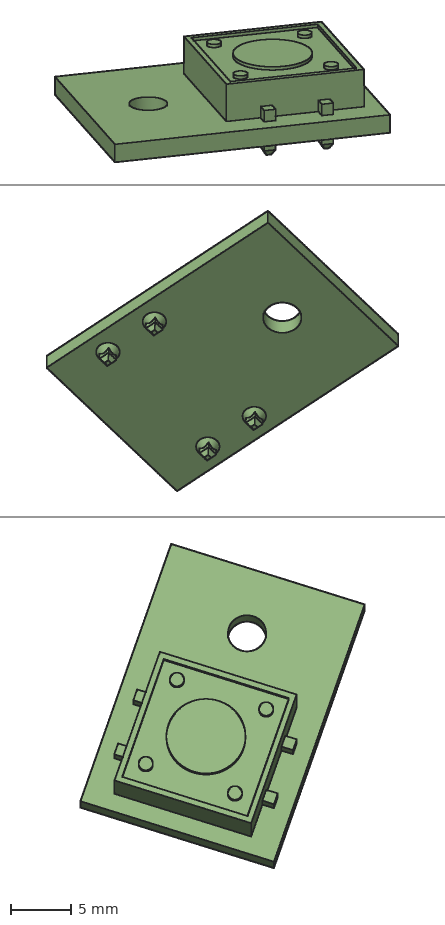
import cadquery as cq
import math

board_width = 17.0
board_length = 24.0
board_thickness = 1.6
mount_hole_diameter = 3.2
mount_hole_y = -6.48

housing_side = 12.0
housing_height = 3.3
housing_y = 4.5
housing_wall = 0.5
recess_side = housing_side - 2 * housing_wall
recess_depth = 0.3
recess_floor_z = housing_height - recess_depth

button_diameter = 6.6
button_y = 4.37
button_height = recess_depth
peg_diameter = 1.2
peg_height = recess_depth
peg_count = 4
peg_circle_radius = 5.57
first_peg_angle = 44.1

lead_side = 1.0
lead_pitch = 5.05
lead_x = (housing_side + lead_side) / 2
lead_projection = 1.5
lead_tip_height = 0.5
lead_tip_side = 0.4

solder_height = 0.6
solder_base_diameter = 1.97


def make_board():
    board = cq.Workplane("XY").box(
        board_width, board_length, board_thickness, centered=(True, True, False)
    )
    hole = (
        cq.Workplane("XY").center(0, mount_hole_y)
        .circle(mount_hole_diameter / 2).extrude(board_thickness)
    )
    return board.cut(hole).translate((0, 0, -board_thickness))


def make_housing():
    block = (
        cq.Workplane("XY").center(0, housing_y)
        .rect(housing_side, housing_side).extrude(housing_height)
    )
    recess = (
        cq.Workplane("XY", origin=(0, housing_y, recess_floor_z))
        .rect(recess_side, recess_side).extrude(recess_depth)
    )
    return block.cut(recess)


def make_disc(x, y, diameter, height):
    """Return a disc standing on the recess floor."""
    return cq.Workplane("XY", origin=(x, y, recess_floor_z)).circle(diameter / 2).extrude(height)


def make_lead(x, y):
    """Return a lead with its pyramid tip and solder cone."""
    tip_start_z = lead_tip_height - board_thickness - lead_projection
    shank = (
        cq.Workplane("XY", origin=(x, y, tip_start_z))
        .rect(lead_side, lead_side).extrude(lead_side - tip_start_z)
    )
    tip = (
        cq.Workplane("XY", origin=(x, y, tip_start_z))
        .rect(lead_side, lead_side)
        .workplane(offset=-lead_tip_height)
        .rect(lead_tip_side, lead_tip_side)
        .loft(ruled=True)
    )
    solder = cq.Workplane(
        cq.Solid.makeCone(
            solder_base_diameter / 2,
            lead_side / 2,
            solder_height,
            pnt=cq.Vector(x, y, -board_thickness),
            dir=cq.Vector(0, 0, -1),
        )
    )
    return shank.union(tip).union(solder)


result = make_board().union(make_housing())

result = result.union(make_disc(0, button_y, button_diameter, button_height))
for index in range(peg_count):
    angle = math.radians(first_peg_angle + index * 360 / peg_count)
    peg_x = peg_circle_radius * math.cos(angle)
    peg_y = button_y + peg_circle_radius * math.sin(angle)
    result = result.union(make_disc(peg_x, peg_y, peg_diameter, peg_height))

for x_side in (-1, 1):
    for y_side in (-1, 1):
        result = result.union(make_lead(x_side * lead_x, housing_y + y_side * lead_pitch / 2))